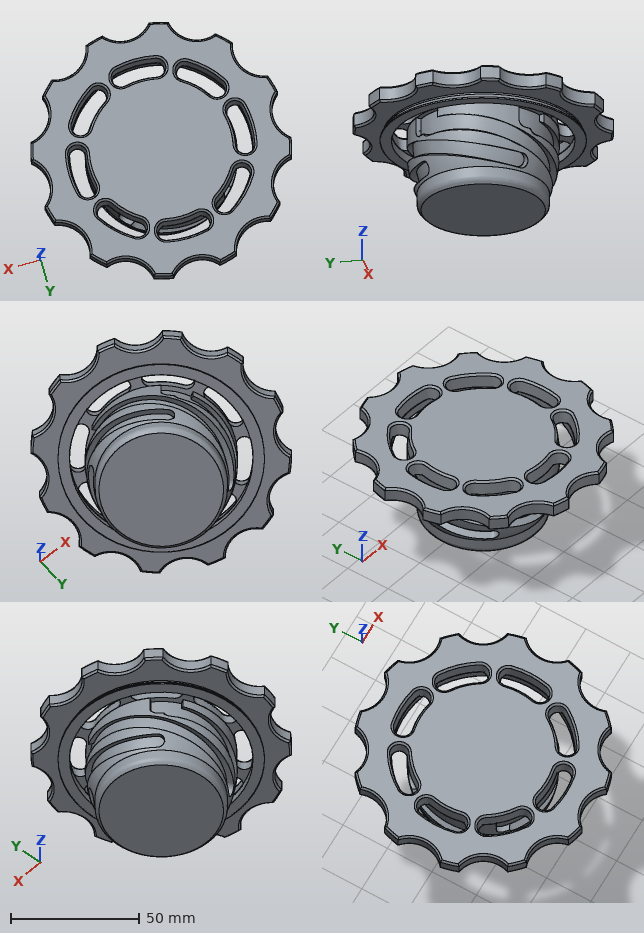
import cadquery as cq
import math

total_height = 38.9
flange_thickness = 6.5
ring_bottom = 29.4
ceiling = 33.1
flange_bottom = total_height - flange_thickness

tooth_count = 12
overall_width = 99.8
scallop_half_width = 9.5
scallop_floor_radius = 45.4
scallop_depth = overall_width / 2 - scallop_floor_radius
scallop_radius = (scallop_half_width**2 + scallop_depth**2) / (2 * scallop_depth)
tooth_radius = math.hypot(overall_width / 2, scallop_half_width)
flange_chamfer = 0.8

slot_count = 8
slot_mid_radius = 32.7
slot_half_width = 3.9
slot_half_angle = 12.6
slot_deep_half_width = 3.2

ring_neck_radius = 39.1
ring_rim_radius = 40.2
ring_neck_height = 0.7
ring_rim_height = 0.6

hollow_radius = 35.7

plug_radius = 29.6
spigot_radius = 25.9
spigot_height = 6.8
spigot_chamfer = 1.6
spigot_fillet = 2.2
plug_curve_top = 23.7

core_curve_top = ring_bottom
core_radius = 27.5
core_foot_radius = 22.7

groove_count = 4
groove_start_angle = -35.0
groove_end_angle = 135.0
groove_start_height = 25.9
groove_end_height = 10.7
groove_half_width = 2.9
groove_tilt = 30.0
groove_reach = 8.0
groove_overshoot = 5.0
groove_sections = 13

entry_start_angle = -50.0
entry_end_angle = -25.0
entry_bottom = 24.2
entry_corner_radius = 2.8
entry_cutter_radius = plug_radius + 2


def polar(radius, angle):
    """Point at a radius and an angle in degrees."""
    return radius * math.cos(math.radians(angle)), radius * math.sin(math.radians(angle))


def turned(solid, angle):
    """Copy of a solid turned about the Z axis."""
    return solid.rotate(cq.Vector(0, 0, 0), cq.Vector(0, 0, 1), angle)


def curved_radius(height, curve_top, top_radius, foot_radius):
    """Radius of a plug whose wall leaves the vertical at curve_top along an arc to the spigot."""
    drop = curve_top - spigot_height
    inset = top_radius - foot_radius
    arc_radius = (drop**2 + inset**2) / (2 * inset)
    below = max(curve_top - height, 0)
    return top_radius - arc_radius + math.sqrt(arc_radius**2 - below**2)


def curved_plug(curve_top, top_radius, foot_radius):
    """Solid of revolution from the spigot to the ceiling, curved below curve_top."""
    mid_height = (curve_top + spigot_height) / 2
    mid_radius = curved_radius(mid_height, curve_top, top_radius, foot_radius)
    return (
        cq.Workplane("XZ")
        .moveTo(0, spigot_height)
        .lineTo(foot_radius, spigot_height)
        .threePointArc((mid_radius, mid_height), (top_radius, curve_top))
        .lineTo(top_radius, ceiling)
        .lineTo(0, ceiling)
        .close()
        .revolve(360, (0, 0), (0, 1))
    )


def slot_outline(half_width, height):
    """Round-ended outline along an arc centred on the +X axis."""
    inner = slot_mid_radius - half_width
    outer = slot_mid_radius + half_width
    a = slot_half_angle
    center_x, center_y = polar(slot_mid_radius, a)
    along_x, along_y = polar(half_width, a + 90)
    tip_x = center_x + along_x
    tip_y = center_y + along_y
    return (
        cq.Workplane("XY", origin=(0, 0, height))
        .moveTo(*polar(outer, -a))
        .threePointArc((outer, 0), polar(outer, a))
        .threePointArc((tip_x, tip_y), polar(inner, a))
        .threePointArc((inner, 0), polar(inner, -a))
        .threePointArc((tip_x, -tip_y), polar(outer, -a))
        .close()
        .val()
    )


def slot_cutter():
    """Slot that narrows from the flange face down to the hollow."""
    face_outline = slot_outline(slot_half_width, total_height)
    deep_outline = slot_outline(slot_deep_half_width, ceiling)
    return cq.Solid.makeLoft([deep_outline, face_outline], True)


def wheel():
    """Scalloped flange with its seat ring and finger slots."""
    flange = cq.Workplane("XY", origin=(0, 0, flange_bottom)).circle(tooth_radius).extrude(flange_thickness)
    scallops = (
        cq.Workplane("XY", origin=(0, 0, flange_bottom))
        .polarArray(scallop_floor_radius + scallop_radius, 0, 360, tooth_count)
        .circle(scallop_radius)
        .extrude(flange_thickness)
    )
    flange = flange.cut(scallops).faces("<Z").edges().chamfer(flange_chamfer)
    slot = slot_cutter()
    for i in range(slot_count):
        flange = flange.cut(cq.Workplane(turned(slot, i * 360 / slot_count)))
    flange = flange.faces(">Z").edges().chamfer(flange_chamfer)

    ring = (
        cq.Workplane("XZ")
        .moveTo(0, flange_bottom)
        .lineTo(ring_neck_radius, flange_bottom)
        .lineTo(ring_neck_radius, flange_bottom - ring_neck_height)
        .lineTo(ring_rim_radius, ring_bottom + ring_rim_height)
        .lineTo(ring_rim_radius, ring_bottom)
        .lineTo(0, ring_bottom)
        .close()
        .revolve(360, (0, 0), (0, 1))
    )
    hollow = cq.Workplane("XY", origin=(0, 0, ring_bottom)).circle(hollow_radius).extrude(ceiling - ring_bottom)
    return flange.union(ring).cut(hollow)


def groove_point(angle):
    """Radius and height where the groove centre line meets the plug surface."""
    progress = (angle - groove_start_angle) / (groove_end_angle - groove_start_angle)
    fall = groove_start_height - groove_end_height
    height = groove_start_height - fall * (1 - math.cos(math.pi * progress)) / 2
    return curved_radius(height, plug_curve_top, plug_radius, spigot_radius), height


def radial_vector(radius, height, angle):
    """Position in space; angles run from the -Y axis towards +X."""
    x, y = polar(radius, angle - 90)
    return cq.Vector(x, y, height)


def groove_section(angle):
    """Slanted section of the groove, in the plane through the axis at an angle."""
    radius, height = groove_point(angle)
    slope = math.tan(math.radians(groove_tilt))
    half_height = groove_half_width / math.cos(math.radians(groove_tilt))
    inner = radius - groove_reach
    outer = radius + groove_overshoot
    inner_height = height + groove_reach * slope
    outer_height = height - groove_overshoot * slope
    corners = [
        radial_vector(inner, inner_height - half_height, angle),
        radial_vector(outer, outer_height - half_height, angle),
        radial_vector(outer, outer_height + half_height, angle),
        radial_vector(inner, inner_height + half_height, angle),
    ]
    return cq.Wire.makePolygon(corners, close=True)


def groove_end(angle):
    """Round end of the groove: a cylinder tilted like the groove walls."""
    radius, height = groove_point(angle)
    slope = math.tan(math.radians(groove_tilt))
    inner = radial_vector(radius - groove_reach, height + groove_reach * slope, angle)
    outer = radial_vector(radius + groove_overshoot, height - groove_overshoot * slope, angle)
    axis = outer - inner
    return cq.Solid.makeCylinder(groove_half_width, axis.Length, inner, axis)


def groove_cutters():
    """Swept run of the groove and its two round ends."""
    step = (groove_end_angle - groove_start_angle) / (groove_sections - 1)
    sections = [groove_section(groove_start_angle + i * step) for i in range(groove_sections)]
    return [
        groove_end(groove_start_angle),
        groove_end(groove_end_angle),
        cq.Solid.makeLoft(sections),
    ]


def wedge(start_angle, bottom):
    """Sector reaching from a start angle to the end of the entry and from a level to the ceiling."""
    sector = cq.Solid.makeCylinder(
        entry_cutter_radius,
        ceiling - bottom,
        cq.Vector(0, 0, bottom),
        cq.Vector(0, 0, 1),
        entry_end_angle - start_angle,
    )
    return turned(sector, start_angle - 90)


def entry_cutters():
    """Sector-shaped pocket with a rounded lower corner at its closed end."""
    corner_angle = entry_start_angle + math.degrees(entry_corner_radius / plug_radius)
    corner_height = entry_bottom + entry_corner_radius
    corner_start = cq.Vector(0, 0, corner_height)
    corner_axis = radial_vector(1, 0, corner_angle)
    return [
        wedge(entry_start_angle, corner_height),
        wedge(corner_angle, entry_bottom),
        cq.Solid.makeCylinder(entry_corner_radius, entry_cutter_radius, corner_start, corner_axis),
    ]


def spigot():
    """Plain foot, chamfered at the bottom with the upper chamfer edge rounded."""
    blank = cq.Workplane("XY").circle(spigot_radius).extrude(spigot_height)
    chamfered = blank.faces("<Z").chamfer(spigot_chamfer)
    return chamfered.faces("%CONE").edges(">Z").fillet(spigot_fillet)


def threaded_plug():
    plug = curved_plug(plug_curve_top, plug_radius, spigot_radius)
    for cutter in groove_cutters() + entry_cutters():
        for i in range(groove_count):
            plug = plug.cut(cq.Workplane(turned(cutter, i * 360 / groove_count)))
    core = curved_plug(core_curve_top, core_radius, core_foot_radius)
    return plug.union(core).union(spigot())


result = wheel().union(threaded_plug())